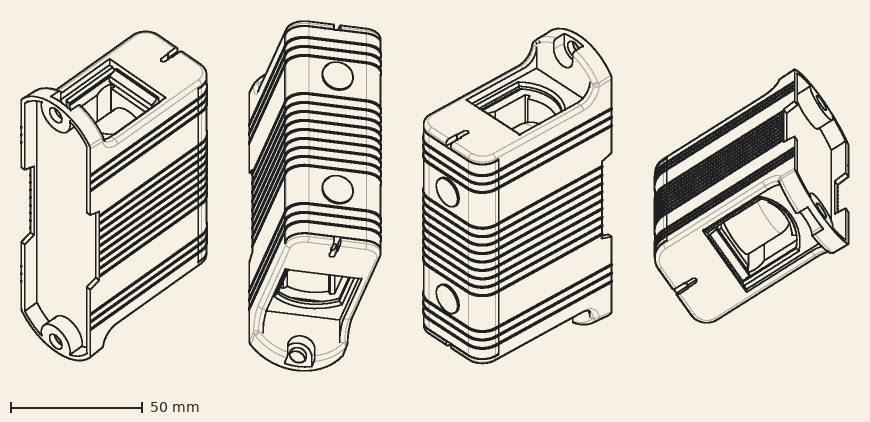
import cadquery as cq
import math

length = 131.0
body_width = 36.8
body_depth = 67.2
body_length = 98.0
back_corner_radius = 7.2
edge_radius = 1.6
half_width = body_width / 2
half_body = body_length / 2
tolerance = 0.01

flange_thickness = 8.1
flange_corner_z = 56.0
flange_blend_radius = 6.5
flange_draft = 3.0
flange_corner_radius = 2.4
flange_sag = length / 2 - flange_corner_z
flange_end_radius = (half_width**2 + flange_sag**2) / (2 * flange_sag)

rim_thickness = 2.0
hollow_depth = 6.5
boss_diameter = 15.3
mount_hole_z = 60.3
mount_hole_diameter = 6.5
screw_seat_width = 10.6
screw_seat_y = 2.8
notch_depth = 5.0
notch_length = 39.7
notch_slant = 1.6

rib_height = 0.3
rib_width = 0.5
rib_pitch = 4.0
middle_rib_count = 9
outer_rib_count = 3
outer_rib_z = 37.0

cover_length = 92.0
cover_front_y = 58.3
cover_thickness = 5.4
cover_gap = 0.3

key_wide = 2.6
key_narrow = 2.1
key_step_y = body_depth - cover_thickness
key_end_y = 57.2
key_floor_z = cover_length / 2

recess_width = 29.9
recess_floor_z = 45.7
entry_top_y = 44.3
entry_width = 24.1
entry_center_y = 32.2
entry_floor_radius = 17.4
entry_bevel = 1.2

lip_width = 22.5
lip_top_y = 43.5
lip_front_y = 40.5
lip_top_z = 46.4
lip_front_z = 44.9
lip_bottom_z = 42.0

pocket_length = 86.7
half_pocket = pocket_length / 2
block_width = 28.8
block_bottom_y = 11.1
block_length = 80.7
half_block = block_length / 2
channel_top_y = 41.1
channel_pad_y = 39.5
channel_pad_width = 18.6
channel_top_width = 22.5
channel_bulge_width = 23.3
channel_bulge_y = 37.7
channel_width = 21.4
channel_step_y = 33.4
channel_floor_radius = 17.8
saddle_radius = 15.6
saddle_half_angle = 31.0

screw_z = 25.3
screw_end_y = 68.0
shank_diameter = 11.9
pusher_diameter = 18.5
pusher_tip_y = 16.9
pusher_tip_radius = 7.3


def box(width, y_low, y_high, z_low, z_high):
    """Box centred on X = 0 between the given Y and Z limits."""
    return cq.Workplane("XY").box(
        width, y_high - y_low, z_high - z_low, centered=(True, False, False)
    ).translate((0, y_low, z_low))


def both_ends(shape):
    """The shape made for the +Z end, joined with its mirror image at the -Z end."""
    return shape.union(shape.mirror("XY"))


def y_cylinder(diameter, z, y_low, y_high):
    """Cylinder along Y at height z."""
    return (
        cq.Workplane("XZ", origin=(0, y_low, z))
        .circle(diameter / 2)
        .extrude(y_low - y_high)
    )


def rounded_ends(radius, depth, draft=0.0):
    """Prism along Y whose two ends are the arcs of the mounting outline."""
    center_distance = length - 2 * flange_end_radius
    return (
        cq.Workplane("XZ")
        .slot2D(center_distance + 2 * radius, 2 * radius, 90)
        .extrude(-depth, taper=draft)
    )


def drafted_skirt(height):
    """Foot of the flange, whose end arcs lean inward with the draft."""
    side_walls = box(body_width, 0, height, -length / 2, length / 2)
    skirt = rounded_ends(flange_end_radius, height, flange_draft).intersect(side_walls)
    return skirt.edges("%HYPERBOLA").fillet(flange_corner_radius)


def is_blend_line(edge):
    """True for the straight X lines where a flange blend meets a flat face."""
    return edge.BoundingBox().xlen > recess_width and edge.geomType() == "LINE"


def flanged_body():
    """Outer body: main block, blends and flanges, all with rounded edges."""
    blend_y = flange_thickness + flange_blend_radius
    blend_z = half_body + flange_blend_radius
    blend_mid = flange_blend_radius * math.sqrt(0.5)
    half = (
        cq.Workplane("YZ", origin=(-half_width, 0, 0))
        .lineTo(0, length / 2)
        .lineTo(flange_thickness, length / 2)
        .lineTo(flange_thickness, blend_z)
        .threePointArc((blend_y - blend_mid, blend_z - blend_mid), (blend_y, half_body))
        .lineTo(body_depth, half_body)
        .lineTo(body_depth, 0)
        .close()
        .extrude(body_width)
    )
    skirt_height = flange_thickness - edge_radius
    end_radius = flange_end_radius - skirt_height * math.tan(math.radians(flange_draft))
    body = both_ends(half).clean().intersect(rounded_ends(end_radius, body_depth))
    body = body.edges("|Z and >Y").fillet(back_corner_radius)
    flange_corners = [
        edge for edge in body.edges("|Y").vals() if abs(edge.Center().z) > half_body
        and edge.Center().y < flange_thickness
    ]
    body = body.newObject(flange_corners).fillet(flange_corner_radius)
    outer_edges = [
        edge for edge in body.edges().vals()
        if edge.BoundingBox().ymin > flange_thickness - edge_radius
        and edge.BoundingBox().zlen < half_body
        and not is_blend_line(edge)
    ]
    body = body.newObject(outer_edges).fillet(edge_radius)
    return body.union(drafted_skirt(skirt_height))


def back_outline(offset):
    """Prism along Z with the cross-section of the main block, grown outward by the offset."""
    return (
        box(body_width + 2 * offset, 0, body_depth + offset, -half_body, half_body)
        .edges("|Z and >Y")
        .fillet(back_corner_radius + offset)
    )


def grip_ribs():
    """Thin ribs that run up one side, across the back and down the other side."""
    middle = [rib_pitch * (i - (middle_rib_count - 1) / 2) for i in range(middle_rib_count)]
    outer = [outer_rib_z + rib_pitch * (i - (outer_rib_count - 1) / 2) for i in range(outer_rib_count)]
    wrap = back_outline(rib_height).cut(back_outline(-rib_height))
    slices = cq.Workplane("XY")
    for z in middle + outer + [-z for z in outer]:
        z_low = z - rib_width / 2
        slices.add(box(length, 0, length, z_low, z_low + rib_width))
    return wrap.intersect(slices.combine())


def hollow():
    """Mounting-side hollow that leaves the rim and the two hole bosses standing."""
    inner_width = body_width - 2 * rim_thickness
    walls = box(inner_width, 0, hollow_depth, -length / 2, length / 2)
    space = rounded_ends(flange_end_radius - rim_thickness, hollow_depth).intersect(walls)
    boss = y_cylinder(boss_diameter, mount_hole_z, 0, hollow_depth)
    return space.cut(both_ends(boss))


def mounting_cuts():
    """Mounting hole and open-ended screw seat at each end."""
    hole = y_cylinder(mount_hole_diameter, mount_hole_z, 0, flange_thickness)
    seat = y_cylinder(screw_seat_width, mount_hole_z, screw_seat_y, flange_thickness)
    seat_mouth = box(screw_seat_width, screw_seat_y, flange_thickness, mount_hole_z, length / 2)
    return both_ends(hole.union(seat).union(seat_mouth))


def side_notches():
    """Shallow cutout with slanted ends across the middle of both rims."""
    z_outer = notch_length / 2
    z_inner = z_outer - notch_slant
    return (
        cq.Workplane("YZ", origin=(-length / 2, 0, 0))
        .polyline([(0, -z_outer), (notch_depth, -z_inner), (notch_depth, z_inner), (0, z_outer)])
        .close()
        .extrude(length)
    )


def key_slots():
    """Stepped slot with a rounded tip in each end wall, open to the back."""
    wide = box(key_wide, key_step_y, body_depth, key_floor_z, half_body)
    tip_y = key_end_y + key_narrow / 2
    narrow = box(key_narrow, tip_y, body_depth, key_floor_z, half_body)
    tip = cq.Workplane("XY", origin=(0, tip_y, key_floor_z)).circle(key_narrow / 2)
    return both_ends(wide.union(narrow).union(tip.extrude(half_body - key_floor_z)))


def entry_outline(z, margin):
    """Entry outline at height z: flat top, straight sides and an arc floor."""
    x = entry_width / 2 + margin
    radius = entry_floor_radius + margin
    corner_y = entry_center_y - math.sqrt(radius**2 - x**2)
    return (
        cq.Workplane("XY", origin=(0, 0, z))
        .moveTo(-x, corner_y)
        .threePointArc((0, entry_center_y - radius), (x, corner_y))
        .lineTo(x, entry_top_y)
        .lineTo(-x, entry_top_y)
        .close()
    )


def cable_entries():
    """Recess, bevelled mouth and throat leading to the clamp block at each end."""
    recess = box(recess_width, flange_thickness, entry_top_y, recess_floor_z, length / 2)
    throat_z = recess_floor_z - entry_bevel
    throat = entry_outline(half_pocket, 0).extrude(throat_z - half_pocket)
    wide_wire = entry_outline(recess_floor_z, entry_bevel).wires().val()
    throat_wire = entry_outline(throat_z, 0).wires().val()
    mouth = cq.Workplane(cq.Solid.makeLoft([throat_wire, wide_wire], True))
    return both_ends(recess.union(throat).union(mouth))


def entry_lips():
    """Lip under the top of each entry, with a sloped guiding face."""
    lip = (
        cq.Workplane("YZ", origin=(-lip_width / 2, 0, 0))
        .moveTo(entry_top_y, lip_bottom_z)
        .lineTo(entry_top_y, lip_top_z)
        .lineTo(lip_top_y, lip_top_z)
        .lineTo(lip_front_y, lip_front_z)
        .lineTo(lip_front_y, lip_bottom_z)
        .close()
        .extrude(lip_width)
    )
    return both_ends(lip)


def block_box(half_length):
    """Box with the cross-section of the clamp block, centred along Z."""
    return box(block_width, block_bottom_y, entry_top_y, -half_length, half_length)


def screw_shanks(y_low):
    """Shank holes of both clamp screws, from y_low out through the back."""
    return both_ends(y_cylinder(shank_diameter, screw_z, y_low, screw_end_y))


def cover_zone(inset, gap):
    """U-shaped shell around the back, its inner side set in from the outer surface."""
    half = cover_length / 2 + gap
    shell = box(length, cover_front_y, length, -half, half)
    return shell.cut(back_outline(-inset))


def make_housing(ribbed_body):
    """Housing with its hollow, entries, pocket and the recess for the cover."""
    housing = ribbed_body.cut(hollow()).cut(mounting_cuts()).cut(side_notches())
    housing = housing.cut(key_slots()).cut(cable_entries()).cut(block_box(half_pocket))
    housing = housing.union(entry_lips())
    return housing.cut(screw_shanks(entry_top_y)).cut(cover_zone(cover_thickness, cover_gap))


def make_cover(ribbed_body):
    """U-shaped back cover with a hole for each screw shank."""
    return ribbed_body.intersect(cover_zone(cover_thickness, 0)).cut(screw_shanks(entry_top_y))


def saddle():
    """Concave rest along the channel floor, a ring sector below the channel centre."""
    def ring_point(radius, degrees):
        angle = math.radians(degrees)
        return (radius * math.sin(angle), entry_center_y - radius * math.cos(angle))

    outer_radius = channel_floor_radius + tolerance
    return (
        cq.Workplane("XY", origin=(0, 0, -half_block))
        .moveTo(*ring_point(saddle_radius, -saddle_half_angle))
        .threePointArc(ring_point(saddle_radius, 0), ring_point(saddle_radius, saddle_half_angle))
        .lineTo(*ring_point(outer_radius, saddle_half_angle))
        .threePointArc(ring_point(outer_radius, 0), ring_point(outer_radius, -saddle_half_angle))
        .close()
        .extrude(block_length)
    )


def make_block():
    """Clamp block: cable channel with a curved saddle, a roof pad and the screw holes."""
    x_top = channel_top_width / 2
    x_bulge = channel_bulge_width / 2
    x_low = channel_width / 2
    floor_y = entry_center_y - math.sqrt(channel_floor_radius**2 - x_low**2)
    channel = (
        cq.Workplane("XY", origin=(0, 0, -half_block))
        .moveTo(-x_low, floor_y)
        .threePointArc((0, entry_center_y - channel_floor_radius), (x_low, floor_y))
        .lineTo(x_low, channel_step_y)
        .threePointArc((x_bulge, channel_bulge_y), (x_top, channel_top_y))
        .lineTo(-x_top, channel_top_y)
        .threePointArc((-x_bulge, channel_bulge_y), (-x_low, channel_step_y))
        .close()
        .extrude(block_length)
    )
    block = block_box(half_block).cut(channel).union(saddle())
    pad = box(channel_pad_width, channel_pad_y, channel_top_y, -half_block, half_block)
    return block.union(pad).cut(screw_shanks(channel_pad_y))


def make_screw(z):
    """Clamp screw along Y: plain shank and a thicker pusher with a rounded tip."""
    pusher = y_cylinder(pusher_diameter, z, pusher_tip_y, channel_pad_y)
    pusher = pusher.edges("<Y").fillet(pusher_tip_radius)
    return pusher.union(y_cylinder(shank_diameter, z, channel_pad_y, screw_end_y))


ribbed_body = flanged_body().union(grip_ribs())
housing = make_housing(ribbed_body)
cover = make_cover(ribbed_body)
block = make_block()
screws = [make_screw(z) for z in (-screw_z, screw_z)]

result = cq.Compound.makeCompound([
    housing.val(),
    cover.val(),
    block.val(),
    *[screw.val() for screw in screws],
])